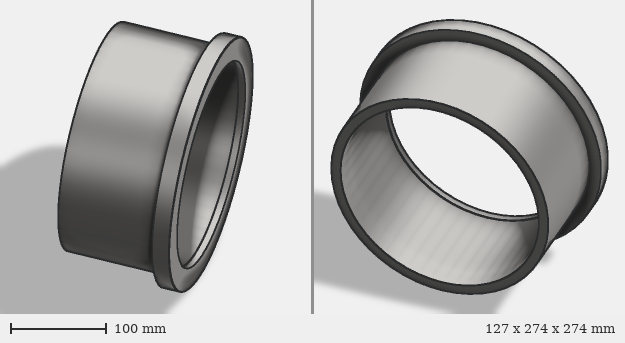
import cadquery as cq

total_length = 127.0
flange_diameter = 274.0
flange_thickness = 19.0
sleeve_diameter = 247.0

sleeve_bore_diameter = 225.0
lip_bore_diameter = 223.0
lip_length = 8.0

sleeve_edge_break = 0.3
flange_edge_break = 0.5

flange_start = total_length - flange_thickness
lip_start = total_length - lip_length


def cylinder_along_x(diameter, start, length):
    """Solid cylinder on the X axis, beginning at the given X position."""
    return cq.Workplane("YZ", origin=(start, 0, 0)).circle(diameter / 2).extrude(length)


sleeve = cylinder_along_x(sleeve_diameter, 0, total_length)
flange = cylinder_along_x(flange_diameter, flange_start, flange_thickness)
flange = flange.faces(">X").edges().chamfer(flange_edge_break)
body = sleeve.union(flange)

sleeve_bore = cylinder_along_x(sleeve_bore_diameter, 0, lip_start)
lip_bore = cylinder_along_x(lip_bore_diameter, lip_start, lip_length)
bored_body = body.cut(sleeve_bore).cut(lip_bore)

result = bored_body.faces("<X").edges().chamfer(sleeve_edge_break)